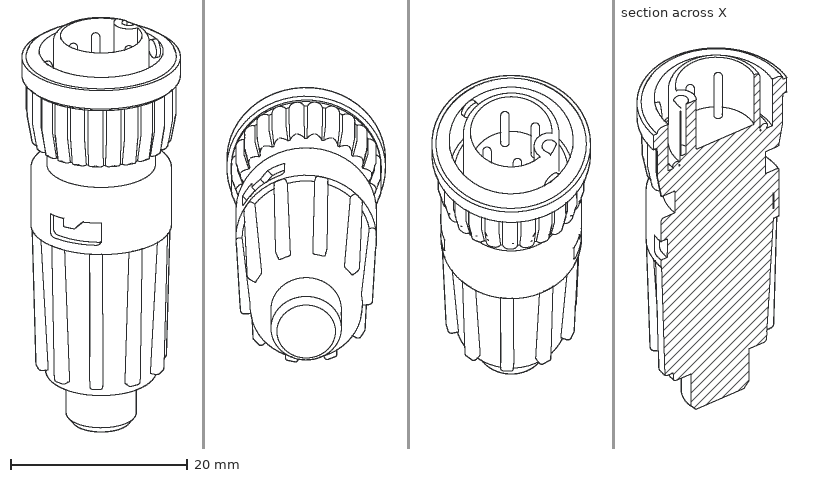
import cadquery as cq
import math


stem_radius = 4.0
stem_chamfer_height = 0.85
stem_chamfer_width = 0.68
grip_bottom = 5.85
grip_bottom_radius = 6.3
grip_top_radius = 7.3
grip_fillet = 0.5

rib_count = 10
rib_turn = 1.6
rib_width = 1.45
rib_bottom = 7.15
rib_bottom_radius = 7.5
rib_top_radius = 7.95
rib_end_round = 0.55
rib_edge_fillet = 0.3
rib_root_radius = 4.8

sleeve_bottom = 24.5
sleeve_top = 32.05
sleeve_radius = 8.0
sleeve_fillet = 0.45
latch_turn = 19.2
window_width = 6.25
window_bottom = 25.65
window_top = 28.45
window_corner_radius = 0.6
window_floor_radius = 7.2
tab_left = -1.3
tab_right = 0.1
tab_depth = 1.0

neck_radius = 6.15
ring_bottom = 35.4
ring_taper_top = 38.75
knurl_top = 42.85
collar_bottom = 43.25
collar_top = 45.6
ring_top = 46.3
collar_radius = 9.0
ring_radius = 8.55
ring_bottom_radius = 7.95
ring_bottom_fillet = 0.3
ring_bore_radius = 7.05
channel_bottom = 39.05

lobe_count = 24
lobe_radius = 0.9
groove_depth = 0.55

bayonet_turn = 68.0
bayonet_pin_radius = 1.05
bayonet_pin_height = 45.25
bayonet_tip_radius = 6.45

barrel_top = 48.25
barrel_radius = 5.45
barrel_bore_radius = 4.65
barrel_fillet = 0.75
seal_radius = 6.45
seal_sink = 0.15
insert_face = 40.5

key_offset = 4.75
key_radius = 1.75
keyway_radius = 0.8
keyway_end = 5.3

contact_spacing_x = 5.1
contact_spacing_y = 3.75
contact_radius = 0.5
contact_top = 47.05
mark_x = 1.95
mark_y = 3.05
mark_radius = 0.1
mark_depth = 0.25


def cylinder(radius, bottom, top, x=0, y=0):
    return cq.Workplane("XY", origin=(x, y, bottom)).circle(radius).extrude(top - bottom)


def cone(bottom_radius, top_radius, bottom, top):
    outline = [(0, bottom), (bottom_radius, bottom), (top_radius, top), (0, top)]
    return cq.Workplane("XZ").polyline(outline).close().revolve(360, (0, 0), (0, 1))


def turned(shape, angle):
    return shape.rotate((0, 0, 0), (0, 0, 1), angle)


def fused(shape, *others):
    return cq.Workplane(shape.val().fuse(*[other.val() for other in others]))


def copies_around(shape, count, first_angle):
    pitch = 360 / count
    return [turned(shape, first_angle + index * pitch) for index in range(count)]


def make_stem():
    tip = cone(stem_radius - stem_chamfer_width, stem_radius, 0, stem_chamfer_height)
    return tip.union(cylinder(stem_radius, stem_chamfer_height, grip_bottom))


def make_rib():
    """One rib pointing along +X, with a rounded lower end."""
    rib = (
        cq.Workplane("XZ")
        .moveTo(rib_root_radius, rib_bottom)
        .lineTo(rib_bottom_radius - rib_end_round, rib_bottom)
        .radiusArc((rib_bottom_radius, rib_bottom + rib_end_round), -rib_end_round)
        .lineTo(rib_top_radius, sleeve_bottom)
        .lineTo(rib_root_radius, sleeve_bottom)
        .close()
        .extrude(rib_width / 2, both=True)
    )
    exposed_edges = cq.selectors.BoxSelector(
        (rib_root_radius + rib_edge_fillet, -rib_width, 0),
        (2 * rib_top_radius, rib_width, sleeve_bottom - rib_end_round),
    )
    return rib.faces("<Y or >Y").edges(exposed_edges).fillet(rib_edge_fillet)


def make_grip():
    grip = cone(grip_bottom_radius, grip_top_radius, grip_bottom, sleeve_bottom)
    grip = grip.faces("<Z").edges().fillet(grip_fillet)
    return fused(grip, *copies_around(make_rib(), rib_count, rib_turn - 90))


def make_latch_window():
    """Cutter facing -Y: a rounded window with a slanted tab hanging from its top edge."""
    half_width = window_width / 2
    tab_bottom = window_top - tab_depth
    window = (
        cq.Workplane("XZ")
        .moveTo(-half_width, window_bottom)
        .lineTo(half_width, window_bottom)
        .lineTo(half_width, window_top)
        .lineTo(tab_right + tab_depth, window_top)
        .lineTo(tab_right, tab_bottom)
        .lineTo(tab_left, tab_bottom)
        .lineTo(tab_left, window_top)
        .lineTo(-half_width, window_top)
        .close()
        .extrude(2 * sleeve_radius)
    )
    window = window.edges("|Y and <Z").fillet(window_corner_radius)
    return window.cut(cylinder(window_floor_radius, sleeve_bottom, sleeve_top))


def make_sleeve():
    sleeve = cylinder(sleeve_radius, sleeve_bottom, sleeve_top)
    sleeve = sleeve.faces(">Z").edges().fillet(sleeve_fillet)
    window = make_latch_window()
    for side in (0, 180):
        sleeve = sleeve.cut(turned(window, latch_turn + side))
    return sleeve


def make_lobe():
    """One lobe on the +X side: upright above, leaning inwards along the tapered lower end."""
    lean = ring_radius - ring_bottom_radius
    axis_radius = ring_radius - lobe_radius
    upright = cylinder(lobe_radius, ring_taper_top, knurl_top, x=axis_radius)
    leaning = (
        cq.Workplane("XY", origin=(axis_radius - lean, 0, ring_bottom))
        .circle(lobe_radius)
        .workplane(offset=ring_taper_top - ring_bottom)
        .center(lean, 0)
        .circle(lobe_radius)
        .loft(ruled=True)
    )
    rounded_taper = cone(ring_bottom_radius, ring_radius, ring_bottom, ring_taper_top)
    rounded_taper = rounded_taper.faces("<Z").edges().fillet(ring_bottom_fillet)
    return upright.union(leaning.intersect(rounded_taper))


def make_knurl():
    core_radius = ring_radius - groove_depth
    core = cylinder(core_radius, ring_taper_top, knurl_top)
    core = core.union(cone(ring_bottom_radius - groove_depth, core_radius, ring_bottom, ring_taper_top))
    return fused(core, *copies_around(make_lobe(), lobe_count, 180 / lobe_count))


def make_bayonet_pin(turn):
    angle = math.radians(turn)
    outward = cq.Vector(math.cos(angle), math.sin(angle), 0)
    start = outward * bayonet_tip_radius + cq.Vector(0, 0, bayonet_pin_height)
    length = (ring_bore_radius + ring_radius) / 2 - bayonet_tip_radius
    return cq.Workplane(cq.Solid.makeCylinder(bayonet_pin_radius, length, start, outward))


def make_coupling_ring():
    rim = cylinder(ring_radius, knurl_top, ring_top)
    rim = rim.faces(">Z").edges().fillet(ring_top - collar_top)
    collar = cylinder(collar_radius, collar_bottom, collar_top)
    ring = make_knurl().union(rim).union(collar)
    ring = ring.cut(cylinder(ring_bore_radius, channel_bottom, ring_top))
    for side in (0, 180):
        ring = ring.union(make_bayonet_pin(bayonet_turn + side))
    return ring


def make_seal():
    """O-ring lying on the channel floor around the barrel."""
    section_radius = (seal_radius - barrel_radius) / 2
    ring_axis_radius = barrel_radius + section_radius
    return (
        cq.Workplane("XZ", origin=(ring_axis_radius, 0, channel_bottom + section_radius - seal_sink))
        .circle(section_radius)
        .revolve(360, (-ring_axis_radius, 0), (-ring_axis_radius, 1))
    )


def make_barrel():
    barrel = cylinder(barrel_radius, channel_bottom, barrel_top)
    barrel = barrel.faces(">Z").edges().fillet(barrel_fillet)
    barrel = barrel.cut(cylinder(barrel_bore_radius, insert_face, barrel_top))

    wall_middle = (barrel_bore_radius + barrel_radius - barrel_fillet) / 2
    key = cylinder(key_radius, insert_face, barrel_top, y=key_offset)
    barrel = barrel.union(key.intersect(cylinder(wall_middle, insert_face, barrel_top)))

    keyway_length = keyway_end - key_offset
    keyway = cylinder(keyway_radius, insert_face, barrel_top, y=key_offset)
    keyway = keyway.union(
        cq.Workplane("XY", origin=(0, key_offset + keyway_length / 2, insert_face))
        .rect(2 * keyway_radius, keyway_length)
        .extrude(barrel_top - insert_face)
    )
    return barrel.cut(keyway.intersect(cylinder(keyway_end, insert_face, barrel_top)))


def make_contact(x, y):
    shank = cylinder(contact_radius, insert_face, contact_top - contact_radius, x, y)
    dome = cq.Workplane("XY", origin=(x, y, contact_top - contact_radius)).sphere(contact_radius)
    return shank.union(dome)


def make_contacts():
    x = contact_spacing_x / 2
    y = contact_spacing_y / 2
    return [make_contact(*place) for place in ((-x, -y), (x, -y), (-x, y), (x, y))]


neck = cylinder(neck_radius, sleeve_top, ring_bottom)
first_contact_mark = cylinder(mark_radius, insert_face - mark_depth, insert_face, mark_x, mark_y)

connector = make_stem().union(make_grip()).union(make_sleeve()).union(neck)
connector = connector.union(make_coupling_ring()).union(make_seal()).union(make_barrel())
connector = fused(connector, *make_contacts()).cut(first_contact_mark)
result = cq.Workplane(connector.solids().val())